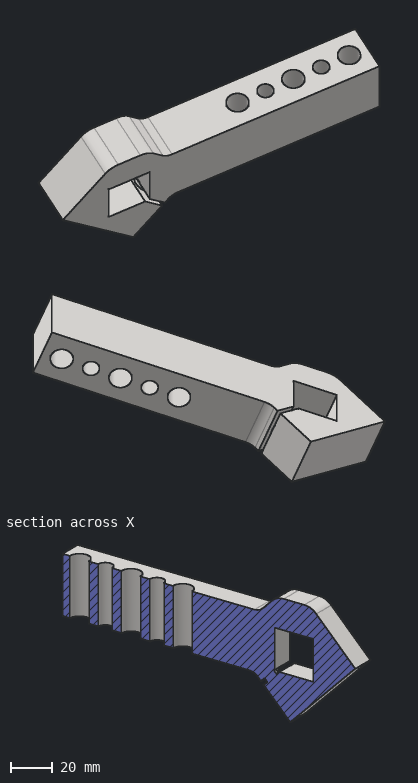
import cadquery as cq
import math

WIDTH = 25.0
LENGTH = 171.0
HEIGHT = 64.0

NOSE_Z = 38.1
BOTTOM_Y = NOSE_Z
TOP_REAR_Y = 46.0
HEAD_RADIUS = 10.0

ARM_BOTTOM = 21.0
ARM_TOP = 53.9
ARM_RADIUS = 7.0

WINDOW_SIZE = 22.2
WINDOW_FRONT_Y = 24.8
WINDOW_BOTTOM_Z = 25.0
WINDOW_REAR_Y = WINDOW_FRONT_Y + WINDOW_SIZE
SLOT_WIDTH = 2.0
SLOT_CORNER_RISE = 0.3

PIN_DIAMETER = 8.0
PIN_DISTANCE = 4.6
PIN_EMBED = 0.9

LARGE_HOLE = 11.0
SMALL_HOLE = 8.0
HOLE_COUNT = 5
HOLE_PITCH = 15.0
END_HOLE_INSET = 10.0

DIAGONAL = math.sqrt(0.5)


def side_prism(points):
    """Extrude a (Y, Z) polygon across the width, centred on X = 0."""
    return cq.Workplane("YZ").polyline(points).close().extrude(WIDTH / 2, both=True)


def make_body():
    nose_rise = HEIGHT - NOSE_Z
    arm_front_top = (TOP_REAR_Y + HEIGHT - ARM_TOP, ARM_TOP)
    arm_front_bottom = (BOTTOM_Y + ARM_BOTTOM, ARM_BOTTOM)
    head_top_front = (nose_rise, HEIGHT)
    head_top_rear = (TOP_REAR_Y, HEIGHT)
    body = side_prism([
        (0, NOSE_Z),
        head_top_front,
        head_top_rear,
        arm_front_top,
        (LENGTH, ARM_TOP),
        (LENGTH, ARM_BOTTOM),
        arm_front_bottom,
        (BOTTOM_Y, 0),
    ])
    rounded_corners = [
        (head_top_front, HEAD_RADIUS),
        (head_top_rear, HEAD_RADIUS),
        (arm_front_top, ARM_RADIUS),
        (arm_front_bottom, ARM_RADIUS),
    ]
    for (y, z), radius in rounded_corners:
        body = body.edges(cq.selectors.NearestToPointSelector((0, y, z))).fillet(radius)
    return body


def make_window():
    return cq.Workplane("XY").box(WIDTH, WINDOW_SIZE, WINDOW_SIZE).translate(
        (0, WINDOW_FRONT_Y + WINDOW_SIZE / 2, WINDOW_BOTTOM_Z + WINDOW_SIZE / 2)
    )


def make_slot():
    run = WINDOW_BOTTOM_Z
    shift = SLOT_WIDTH / DIAGONAL
    y, z = WINDOW_REAR_Y, WINDOW_BOTTOM_Z + SLOT_CORNER_RISE
    return side_prism([
        (y, z),
        (y + run, z - run),
        (y + run - shift, z - run),
        (y - shift, z),
    ])


def make_pin():
    along = PIN_DISTANCE * DIAGONAL
    embed = PIN_EMBED * DIAGONAL
    start_z = WINDOW_BOTTOM_Z + SLOT_CORNER_RISE - along + embed
    start = cq.Vector(0, WINDOW_REAR_Y + along + embed, start_z)
    length = SLOT_WIDTH + 2 * PIN_EMBED
    pin = cq.Solid.makeCylinder(PIN_DIAMETER / 2, length, start, cq.Vector(0, -1, -1))
    return cq.Workplane(obj=pin)


def drill_arm(body):
    for index in range(HOLE_COUNT):
        diameter = LARGE_HOLE if index % 2 == 0 else SMALL_HOLE
        y = LENGTH - END_HOLE_INSET - index * HOLE_PITCH
        hole = cq.Workplane("XY").center(0, y).circle(diameter / 2).extrude(HEIGHT)
        body = body.cut(hole)
    return body


clamp = make_body().cut(make_window()).cut(make_slot()).union(make_pin())
result = drill_arm(clamp)